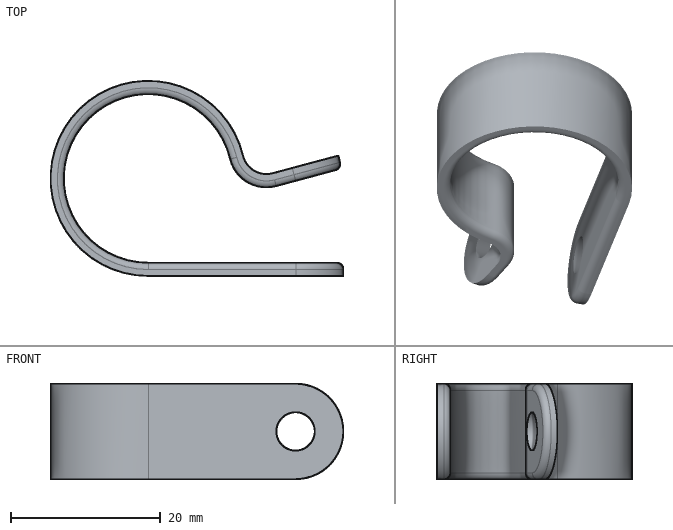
import cadquery as cq
import math


thickness = 1.8
width = 12.8
bore_radius = 11.25
bend_outer_radius = 5.0
ring_end_angle = 13.5
upper_tab_slope = 15.0
tab_reach = 26.1
upper_flat_length = 2.7
hole_diameter = 5.1
edge_fillet = thickness / 2

ring_outer_radius = bore_radius + thickness
bend_inner_radius = bend_outer_radius - thickness
tab_end_radius = width / 2
lower_flat_length = tab_reach - tab_end_radius
bend_centre_distance = bore_radius + bend_outer_radius


def polar(radius, angle):
    """Point at a radius and angle (degrees) from the ring centre."""
    a = math.radians(angle)
    return (radius * math.cos(a), radius * math.sin(a))


bend_centre = polar(bend_centre_distance, ring_end_angle)


def from_bend(radius, angle):
    """Point at a radius and angle (degrees) from the bend centre."""
    x, y = polar(radius, angle)
    return (bend_centre[0] + x, bend_centre[1] + y)


bend_start_angle = ring_end_angle + 180
bend_end_angle = upper_tab_slope + 270
bend_mid_angle = (bend_start_angle + bend_end_angle) / 2
ring_mid_angle = (ring_end_angle + 270) / 2


def make_strap():
    """Ring and reverse bend, from the lower tab to the upper tab."""
    return (
        cq.Workplane("XY")
        .workplane(offset=-width / 2)
        .moveTo(0, -ring_outer_radius)
        .threePointArc(
            polar(ring_outer_radius, ring_mid_angle),
            polar(ring_outer_radius, ring_end_angle),
        )
        .threePointArc(
            from_bend(bend_inner_radius, bend_mid_angle),
            from_bend(bend_inner_radius, bend_end_angle),
        )
        .lineTo(*from_bend(bend_outer_radius, bend_end_angle))
        .threePointArc(
            from_bend(bend_outer_radius, bend_mid_angle),
            polar(bore_radius, ring_end_angle),
        )
        .threePointArc(polar(bore_radius, ring_mid_angle), (0, -bore_radius))
        .close()
        .extrude(width)
    )


def make_tab(corner, slope, flat_length):
    """Round-ended plate that starts at corner, on its lower face."""
    a = math.radians(slope)
    along = (math.cos(a), math.sin(a), 0)
    downward = (math.sin(a), -math.cos(a), 0)
    plane = cq.Plane(origin=(*corner, 0), xDir=along, normal=downward)
    return (
        cq.Workplane(plane)
        .moveTo(0, -tab_end_radius)
        .lineTo(flat_length, -tab_end_radius)
        .threePointArc((flat_length + tab_end_radius, 0), (flat_length, tab_end_radius))
        .lineTo(0, tab_end_radius)
        .close()
        .extrude(-thickness)
    )


def make_screw_hole():
    """Straight hole along Y, concentric with the lower tab's round end, through both tabs."""
    return (
        cq.Workplane("XZ")
        .center(lower_flat_length, 0)
        .circle(hole_diameter / 2)
        .extrude(ring_outer_radius, both=True)
    )


def round_gripping_edge(body):
    """Fillet the closed smooth edge of the gripping side, started from one lower tab edge."""
    seed_point = (lower_flat_length / 2, -bore_radius, width / 2)
    return body.edges(cq.selectors.NearestToPointSelector(seed_point)).fillet(edge_fillet)


lower_tab = make_tab((0, -ring_outer_radius), 0, lower_flat_length)
upper_tab_corner = from_bend(bend_outer_radius, bend_end_angle)
upper_tab = make_tab(upper_tab_corner, upper_tab_slope, upper_flat_length)
clip = make_strap().union(lower_tab).union(upper_tab)

result = round_gripping_edge(clip).cut(make_screw_hole())